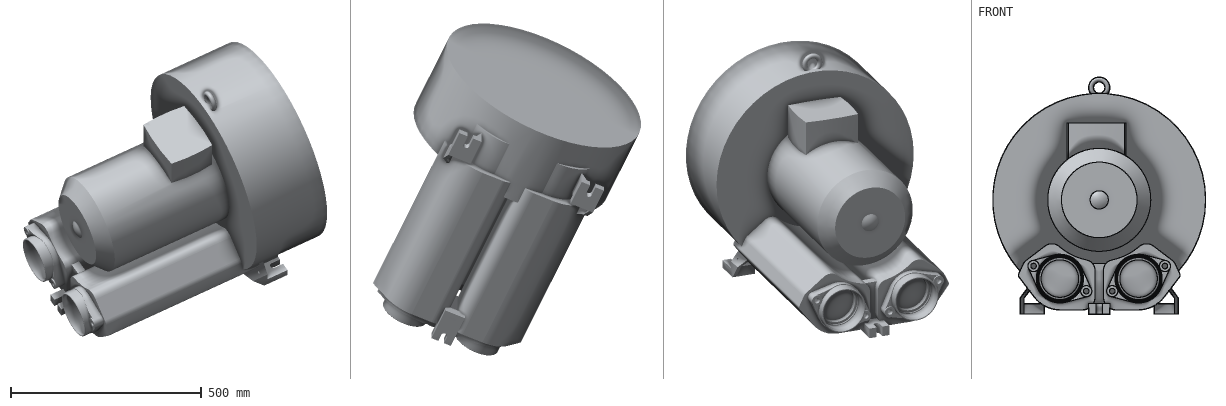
import cadquery as cq
import math


HOUSING_DIAMETER = 560.0
HOUSING_RADIUS = HOUSING_DIAMETER / 2
HOUSING_BACK = 213.5
TOTAL_LENGTH = 667
PORT_END = HOUSING_BACK - TOTAL_LENGTH

MOTOR_RADIUS = 135.5
MOTOR_LENGTH = 383.0
MOTOR_CHAMFER = 36.0
DOME_RADIUS = 24.0
DOME_HEIGHT = 7.5

BOX_CENTER_X = -7.5
BOX_CENTER_Y = -74.0
BOX_WIDTH = 148.0
BOX_DEPTH = 123.5
BOX_BULGE = 4.0
BOX_TOP = 201.5

EYE_RING_RADIUS = 21.5
EYE_WIRE_RADIUS = 7.0
EYE_CENTER_Y = 20.0
EYE_CENTER_Z = 295.0

BODY_BACK = 47.5
BODY_FRONT = -410.0
BODY_BOTTOM = -289.5
MOTOR_CLEARANCE_RADIUS = 161.5
GAP_HALF_WIDTH = 11.5
GAP_TOP_ROUND = 27.0
GAP_BOTTOM_ROUND = 33.5
BODY_PEAK_X = 122.0
BODY_SHOULDER = (197.0, -163.0)
BODY_SIDE = (214.0, -199.0)
BODY_BOTTOM_OUTER_X = 145.0
BODY_SIDE_ROUND = 8.0
BODY_PEAK_ROUND = 30.0
BODY_SHOULDER_ROUND = 25.0
BODY_BOTTOM_ROUND = 87.0
WEB_FRONT = -390.5
WEB_BACK = -368.0
WEB_TOP = -167.5
WEB_HALF_WIDTH = 17.0

PORT_X = 103.5
PORT_Z = -207.0
PIPE_RADIUS = 62.0
PIPE_BORE_RADIUS = 55.5
PIPE_RIM_CHAMFER = 1.5
PIPE_MOUTH_RADIUS = 57.5
PIPE_MOUTH_DEPTH = 39.0
SEAT_RADIUS = 49.5
SEAT_FLOOR = -396.5
FLANGE_RADIUS = 64.0
FLANGE_THICKNESS = 16.0
FLANGE_END_THICKNESS = 25.0
EAR_THICKNESS = 28.0
EAR_DISTANCE = 77.0
EAR_RADIUS = 15.0
END_FLAT_START = 63.5
END_SLOPE_START = 27.0
EAR_TILT = 25.5
BOLT_HOLE_RADIUS = 7.5

FOOT_BOTTOM = -300.0
FOOT_TOP = -273.0
FRONT_FOOT_HALF_WIDTH = 28.0
FRONT_FOOT_FRONT = -448.0
FRONT_FOOT_BACK = -357.5
FRONT_SLOT_WIDTH = 16.0
FRONT_SLOT_END = -420.5
FOOT_LIP_DEPTH = 9.5
FOOT_LIP_HEIGHT = 1.5

REAR_FOOT_OUTER_X = 208.0
REAR_FOOT_INNER_X = 144.0
REAR_FOOT_BACK = 135.0
REAR_FOOT_TOP = -279.0
REAR_SLOT_WIDTH = 16.0
REAR_SLOT_END = 101.5
STRUT_THICKNESS = 11.0
STRUT_BEND_Z = -258.0
STRUT_TOP = -212.0
STRUT_RUN_PER_RISE = 0.74
STRUT_BACK = 74.0
STRUT_NECK = 45.0
STRUT_TOE = 64.0
STRUT_TIP = (8.0, -231.0)
STRUT_CORNER = 8.0
STRUT_HOLE_RADIUS = 3.0
STRUT_HOLE = (53.0, -245.5)
BOSS_RADIUS = 107.0
BOSS_X = 76.0
BOSS_Z = -165.0
BOSS_BACK = 145.0
RIB_FOOT_X = 159.0
RIB_TOP_X = 145.5
RIB_TOP = -251.0


def cylinder_y(radius, y_start, y_end, x=0.0, z=0.0):
    return cq.Workplane("XZ", origin=(x, y_start, z)).circle(radius).extrude(y_start - y_end)


def block(x_range, y_range, z_range):
    (x0, x1), (y0, y1), (z0, z1) = x_range, y_range, z_range
    return cq.Workplane("XY").box(x1 - x0, y1 - y0, z1 - z0, centered=False).translate((x0, y0, z0))


def both_sides(part):
    return part.union(part.mirror("YZ"))


def make_motor():
    motor = cylinder_y(MOTOR_RADIUS, 0, -MOTOR_LENGTH).faces("<Y").chamfer(MOTOR_CHAMFER)
    dome_sphere_radius = (DOME_RADIUS**2 + DOME_HEIGHT**2) / (2 * DOME_HEIGHT)
    dome = (
        cq.Workplane("XY")
        .moveTo(0, -MOTOR_LENGTH)
        .lineTo(DOME_RADIUS, -MOTOR_LENGTH)
        .radiusArc((0, -MOTOR_LENGTH - DOME_HEIGHT), dome_sphere_radius)
        .close()
        .revolve(360, (0, 0, 0), (0, 1, 0))
    )
    return motor.union(dome)


def make_terminal_box():
    half_x = BOX_WIDTH / 2
    half_y = BOX_DEPTH / 2
    return (
        cq.Workplane("XY")
        .center(BOX_CENTER_X, BOX_CENTER_Y)
        .moveTo(-half_x, -half_y)
        .threePointArc((0, -half_y - BOX_BULGE), (half_x, -half_y))
        .threePointArc((half_x + BOX_BULGE, 0), (half_x, half_y))
        .threePointArc((0, half_y + BOX_BULGE), (-half_x, half_y))
        .threePointArc((-half_x - BOX_BULGE, 0), (-half_x, -half_y))
        .close()
        .extrude(BOX_TOP)
    )


def make_lifting_eye():
    ring = cq.Solid.makeTorus(
        EYE_RING_RADIUS, EYE_WIRE_RADIUS, cq.Vector(0, EYE_CENTER_Y, EYE_CENTER_Z), cq.Vector(0, 1, 0)
    )
    return cq.Workplane(ring)


def make_body_half():
    def on_clearance(x):
        return (x, -math.sqrt(MOTOR_CLEARANCE_RADIUS**2 - x**2))

    arc_start = on_clearance(BODY_PEAK_X)
    arc_middle = on_clearance((BODY_PEAK_X + GAP_HALF_WIDTH) / 2)
    arc_end = on_clearance(GAP_HALF_WIDTH)
    half = (
        cq.Workplane("XZ", origin=(0, BODY_BACK, 0))
        .moveTo(*arc_start)
        .threePointArc(arc_middle, arc_end)
        .lineTo(GAP_HALF_WIDTH, BODY_BOTTOM)
        .lineTo(BODY_BOTTOM_OUTER_X, BODY_BOTTOM)
        .lineTo(*BODY_SIDE)
        .lineTo(*BODY_SHOULDER)
        .close()
        .extrude(BODY_BACK - BODY_FRONT)
    )

    def round_edge(solid, x, z, radius):
        middle_y = (BODY_BACK + BODY_FRONT) / 2
        return solid.edges("|Y").edges(cq.NearestToPointSelector((x, middle_y, z))).fillet(radius)

    half = round_edge(half, *arc_end, GAP_TOP_ROUND)
    half = round_edge(half, GAP_HALF_WIDTH, BODY_BOTTOM, GAP_BOTTOM_ROUND)
    half = round_edge(half, BODY_BOTTOM_OUTER_X, BODY_BOTTOM, BODY_BOTTOM_ROUND)
    half = round_edge(half, *BODY_SIDE, BODY_SIDE_ROUND)
    half = round_edge(half, *BODY_SHOULDER, BODY_SHOULDER_ROUND)
    return round_edge(half, *arc_start, BODY_PEAK_ROUND)


def make_web():
    """Upright between the two body halves, standing on the front foot."""
    return block((-WEB_HALF_WIDTH, WEB_HALF_WIDTH), (WEB_FRONT, WEB_BACK), (BODY_BOTTOM, WEB_TOP))


def make_flange():
    """Right-hand flange, drawn around its own port axis with the long axis along X."""
    tangent_angle = math.acos((FLANGE_RADIUS - EAR_RADIUS) / EAR_DISTANCE)
    cos_t = math.cos(tangent_angle)
    sin_t = math.sin(tangent_angle)
    ear_x = EAR_DISTANCE + EAR_RADIUS * cos_t
    ear_z = EAR_RADIUS * sin_t
    disc_x = FLANGE_RADIUS * cos_t
    disc_z = FLANGE_RADIUS * sin_t
    ear_tip = EAR_DISTANCE + EAR_RADIUS
    outline = (
        cq.Workplane("XZ")
        .moveTo(ear_x, -ear_z)
        .threePointArc((ear_tip, 0), (ear_x, ear_z))
        .lineTo(disc_x, disc_z)
        .threePointArc((0, FLANGE_RADIUS), (-disc_x, disc_z))
        .lineTo(-ear_x, ear_z)
        .threePointArc((-ear_tip, 0), (-ear_x, -ear_z))
        .lineTo(-disc_x, -disc_z)
        .threePointArc((0, -FLANGE_RADIUS), (disc_x, -disc_z))
        .close()
        .extrude(EAR_THICKNESS)
    )
    profile = (
        cq.Workplane("XY", origin=(0, 0, -FLANGE_RADIUS))
        .polyline([
            (-ear_tip, 0),
            (-ear_tip, -FLANGE_END_THICKNESS),
            (-END_FLAT_START, -FLANGE_END_THICKNESS),
            (-END_SLOPE_START, -FLANGE_THICKNESS),
            (END_SLOPE_START, -FLANGE_THICKNESS),
            (END_FLAT_START, -FLANGE_END_THICKNESS),
            (ear_tip, -FLANGE_END_THICKNESS),
            (ear_tip, 0),
        ])
        .close()
        .extrude(2 * FLANGE_RADIUS)
    )
    flange = outline.intersect(profile)
    for side in (-1, 1):
        flange = flange.union(cylinder_y(EAR_RADIUS, 0, -EAR_THICKNESS, side * EAR_DISTANCE))
        flange = flange.cut(cylinder_y(BOLT_HOLE_RADIUS, 0, -EAR_THICKNESS, side * EAR_DISTANCE))
    pipe_length = BODY_FRONT - PORT_END
    pipe = cylinder_y(PIPE_RADIUS, 0, -pipe_length)
    bore = cylinder_y(PIPE_BORE_RADIUS, 0, -pipe_length)
    mouth = cylinder_y(PIPE_MOUTH_RADIUS, PIPE_MOUTH_DEPTH - pipe_length, -pipe_length)
    flange = flange.union(pipe).cut(bore).cut(mouth)
    flange = flange.faces("<Y").chamfer(PIPE_RIM_CHAMFER)
    return flange.rotate((0, 0, 0), (0, 1, 0), -EAR_TILT).translate((PORT_X, BODY_FRONT, PORT_Z))


def make_port_recess():
    return cylinder_y(SEAT_RADIUS, SEAT_FLOOR, BODY_FRONT, PORT_X, PORT_Z)


def make_slot(width, x, y_end, y_open):
    """Vertical cutter for a foot slot with a round end at y_end, open at y_open."""
    direction = math.copysign(1, y_open - y_end)
    center_y = y_end + direction * width / 2
    height = FOOT_TOP - FOOT_BOTTOM
    y_range = (min(center_y, y_open), max(center_y, y_open))
    round_end = cq.Workplane("XY", origin=(x, center_y, FOOT_BOTTOM)).circle(width / 2).extrude(height)
    return round_end.union(block((x - width / 2, x + width / 2), y_range, (FOOT_BOTTOM, FOOT_TOP)))


def make_front_foot():
    width = (-FRONT_FOOT_HALF_WIDTH, FRONT_FOOT_HALF_WIDTH)
    foot = block(width, (FRONT_FOOT_FRONT, FRONT_FOOT_BACK), (FOOT_BOTTOM, FOOT_TOP))
    lip = block(
        width,
        (FRONT_FOOT_BACK - FOOT_LIP_DEPTH, FRONT_FOOT_BACK),
        (FOOT_BOTTOM - FOOT_LIP_HEIGHT, FOOT_BOTTOM),
    )
    return foot.union(lip).cut(make_slot(FRONT_SLOT_WIDTH, 0, FRONT_SLOT_END, FRONT_FOOT_FRONT))


def make_strut():
    """Bent sheet: its section in XZ, trimmed to its side outline in YZ."""
    inner_x = REAR_FOOT_OUTER_X - STRUT_THICKNESS
    lean = (STRUT_TOP - STRUT_BEND_Z) * STRUT_RUN_PER_RISE
    sheet = (
        cq.Workplane("XZ", origin=(0, REAR_FOOT_BACK, 0))
        .polyline([
            (REAR_FOOT_OUTER_X, FOOT_BOTTOM),
            (REAR_FOOT_OUTER_X, STRUT_BEND_Z),
            (REAR_FOOT_OUTER_X - lean, STRUT_TOP),
            (inner_x - lean, STRUT_TOP),
            (inner_x, STRUT_BEND_Z),
            (inner_x, FOOT_BOTTOM),
        ])
        .close()
        .extrude(REAR_FOOT_BACK)
    )
    side_outline = (
        cq.Workplane("YZ")
        .polyline([
            (STRUT_BACK, FOOT_BOTTOM),
            (STRUT_TOE, FOOT_BOTTOM),
            STRUT_TIP,
            (STRUT_NECK, STRUT_TIP[1]),
            (STRUT_NECK, STRUT_TOP - STRUT_CORNER),
            (STRUT_NECK + STRUT_CORNER, STRUT_TOP),
            (STRUT_BACK, STRUT_TOP),
        ])
        .close()
        .extrude(REAR_FOOT_OUTER_X)
    )
    hole = cq.Workplane("YZ").center(*STRUT_HOLE).circle(STRUT_HOLE_RADIUS).extrude(REAR_FOOT_OUTER_X)
    return sheet.intersect(side_outline).cut(hole)


def make_rear_foot():
    width = (REAR_FOOT_INNER_X, REAR_FOOT_OUTER_X)
    plate = block(width, (STRUT_TOE, REAR_FOOT_BACK), (FOOT_BOTTOM, REAR_FOOT_TOP))
    front_wall = block(width, (STRUT_TOE, STRUT_BACK), (FOOT_BOTTOM, FOOT_TOP))
    slot_x = (REAR_FOOT_INNER_X + REAR_FOOT_OUTER_X) / 2
    plate = plate.cut(make_slot(REAR_SLOT_WIDTH, slot_x, REAR_SLOT_END, REAR_FOOT_BACK))
    boss = cylinder_y(BOSS_RADIUS, BOSS_BACK, BODY_BACK, BOSS_X, BOSS_Z)
    rib = (
        cq.Workplane("XZ", origin=(0, REAR_FOOT_BACK, 0))
        .polyline([
            (REAR_FOOT_INNER_X, FOOT_BOTTOM),
            (RIB_FOOT_X, FOOT_BOTTOM),
            (RIB_FOOT_X, REAR_FOOT_TOP),
            (RIB_TOP_X, RIB_TOP),
            (REAR_FOOT_INNER_X, RIB_TOP),
        ])
        .close()
        .extrude(REAR_FOOT_BACK - STRUT_BACK)
    )
    return plate.union(front_wall).union(make_strut()).union(boss).union(rib)


result = (
    cylinder_y(HOUSING_RADIUS, HOUSING_BACK, 0)
    .union(make_motor())
    .union(make_terminal_box())
    .union(make_lifting_eye())
    .union(both_sides(make_body_half()))
    .union(make_web())
    .cut(both_sides(make_port_recess()))
    .union(both_sides(make_flange()))
    .union(both_sides(make_rear_foot()))
    .union(make_front_foot())
)